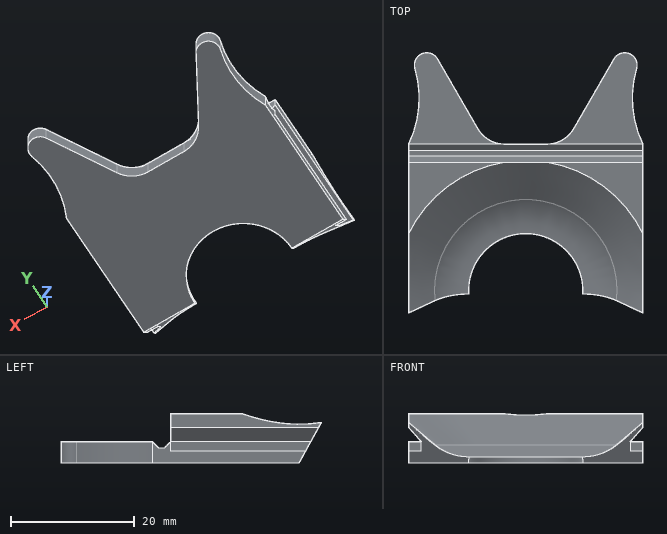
import cadquery as cq
import math

width = 37.8
half_width = width / 2
height = 8.0
front_reach = 3.6
back_reach = 42.0 - front_reach
block_back = 20.7
front_lean = 0.55

plate_height = 3.5
groove_floor = 2.48
groove_back = 23.65
groove_wall = plate_height - groove_floor

slot_floor = 1.95
slot_depth = 2.0
slot_top = 5.75

hole_radius = 9.2
hole_edge = 1.0
bowl_curve_radius = 8.8
rim_radius = 21.0

tip_radius = 2.0
tip_x = 15.95
tip_y = back_reach - tip_radius
arm_angle = math.radians(30)
crotch_radius = 5.0
waist_x = 17.2
waist_y = 31.5
outer_join_drop = 0.5


def make_body():
    """Side profile with the sloping front and the cross groove, across the width."""
    profile = [
        (0, 0),
        (groove_back, 0),
        (groove_back, plate_height),
        (groove_back - groove_wall, groove_floor),
        (block_back + groove_wall, groove_floor),
        (block_back, plate_height),
        (block_back, height),
        (-front_lean * height, height),
    ]
    return cq.Workplane("YZ").polyline(profile).close().extrude(half_width, both=True)


def make_side_slot():
    """Slot in the +X side, open at the front and stopping at the block's back face."""
    inner_x = half_width - slot_depth
    profile = [
        (half_width, slot_floor),
        (inner_x, slot_floor),
        (inner_x, plate_height),
        (half_width, slot_top),
    ]
    length = block_back + front_lean * height
    return (
        cq.Workplane("XZ", origin=(0, block_back, 0))
        .polyline(profile).close().extrude(length)
    )


def make_bowl():
    """Dish whose arc runs tangent into a cone, with a straight hole at the bottom."""
    curve_centre_height = hole_edge + bowl_curve_radius
    run = rim_radius - hole_radius
    drop = curve_centre_height - height
    cone_angle = (
        math.pi / 2 - math.atan2(drop, run)
        - math.acos(bowl_curve_radius / math.hypot(run, drop))
    )
    cone_start = (
        hole_radius + bowl_curve_radius * math.sin(cone_angle),
        curve_centre_height - bowl_curve_radius * math.cos(cone_angle),
    )
    return (
        cq.Workplane("XZ")
        .lineTo(hole_radius, 0)
        .lineTo(hole_radius, hole_edge)
        .radiusArc(cone_start, -bowl_curve_radius)
        .lineTo(rim_radius, height)
        .lineTo(0, height)
        .close()
        .revolve(360, (0, 0, 0), (0, 1, 0))
    )


def make_arm():
    """Arm on the +X side, with a round tip and a rounded crotch."""
    inner_x = tip_x - tip_radius * math.cos(arm_angle)
    inner_y = tip_y + tip_radius * math.sin(arm_angle)
    corner_x = inner_x - (inner_y - groove_back) * math.tan(arm_angle)
    tangent = crotch_radius * math.tan(math.pi / 4 - arm_angle / 2)
    crotch_x = corner_x - tangent
    middle_angle = math.pi / 4 - arm_angle / 2
    crotch_middle = (
        crotch_x + crotch_radius * math.sin(middle_angle),
        groove_back + crotch_radius * (1 - math.cos(middle_angle)),
    )
    crotch_end = (
        corner_x + tangent * math.sin(arm_angle),
        groove_back + tangent * math.cos(arm_angle),
    )
    outer_join = (
        tip_x + math.sqrt(tip_radius**2 - outer_join_drop**2),
        tip_y - outer_join_drop,
    )
    return (
        cq.Workplane("XY")
        .moveTo(half_width, groove_back)
        .threePointArc((waist_x, waist_y), outer_join)
        .threePointArc((tip_x, back_reach), (inner_x, inner_y))
        .lineTo(*crotch_end)
        .threePointArc(crotch_middle, (crotch_x, groove_back))
        .close()
        .extrude(plate_height)
    )


slot = make_side_slot()
arm = make_arm()
result = make_body().cut(make_bowl())
result = result.cut(slot).cut(slot.mirror("YZ"))
result = result.union(arm).union(arm.mirror("YZ"))